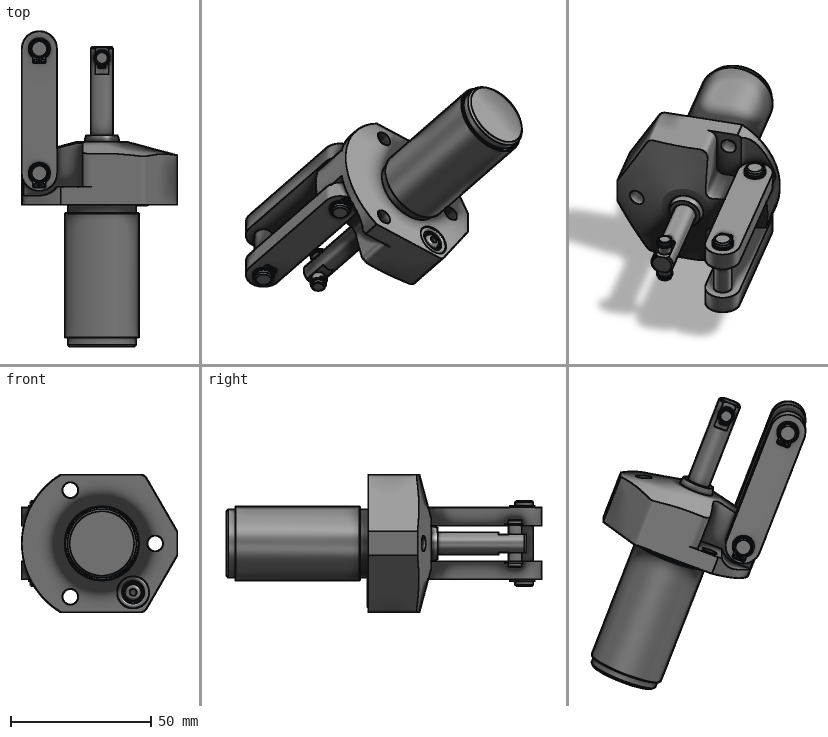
import cadquery as cq
import math


FLANGE_RADIUS = 28.6
HEIGHT = 49.2
HALF_HEIGHT = HEIGHT / 2
NOSE_X = 26.9
NOSE_HALF_HEIGHT = 4.3
NOSE_ANGLE = 60.0
CORNER_RADIUS = 2.8

HEAD_TOP = 22.4
CROWN_RADIUS = 9.2
CROWN_ANGLE = 15.0
FLANGE_THICKNESS = 6.4
SHOULDER_X = -6.9
BLEND_RADIUS = 3.2

MOUNT_HOLE_DIAMETER = 5.5
MOUNT_HOLES = [(-11.3, 19.0), (-11.3, -19.0), (19.0, 0.0)]

NECK_RADIUS = 12.3
NECK_LENGTH = 3.3
BARREL_RADIUS = 13.3
BARREL_END = 47.6
BARREL_CHAMFER = 0.3
TAIL_END = 50.7
TAIL_CHAMFER = 0.8

COLLAR_BASE_RADIUS = 6.2
COLLAR_TOP_RADIUS = 5.6
COLLAR_HEIGHT = 2.4

PORT_X = 11.2
PORT_Z = -17.5
PORT_RADIUS = 5.7
PORT_DEPTH = 0.6
SEAL_MID_RADIUS = 4.8
SEAL_RADIUS = 0.85
PORT_GROOVE_RADIUS = 3.4
PORT_GROOVE_DEPTH = 1.5
NIPPLE_RADIUS = 2.9
NIPPLE_RISE = 0.1
NIPPLE_ROUND = 1.4
NIPPLE_BORE_RADIUS = 1.2

ROD_RADIUS = 4.1
ROD_END = 56.4
ROD_CHAMFER = 0.6
ROD_FLAT_START = 46.5
ROD_FLAT_HALF_THICKNESS = 3.3
ROD_PIN_RADIUS = 2.4
ROD_PIN_Y = 52.4
ROD_PIN_HALF_LENGTH = 8.5
ROD_PIN_CHAMFER = 0.3
ROD_CLIP_Z = 6.4
ROD_CLIP_THICKNESS = 0.6
ROD_CLIP_RADIUS = 2.8
ROD_CLIP_LUG_HALF_WIDTH = 1.5
ROD_CLIP_LUG_REACH = 3.6
ROD_CLIP_HOLE_RADIUS = 0.28

LINK_HALF_WIDTH = 6.3
LINK_X = LINK_HALF_WIDTH - FLANGE_RADIUS
LINK_PIVOT_Y = 11.3
LINK_PITCH = 44.4
LINK_INNER_Z = 6.3
LINK_THICKNESS = 6.5
LINK_OUTER_Z = LINK_INNER_Z + LINK_THICKNESS
LINK_PIN_RADIUS = 3.3
LINK_PIN_HALF_LENGTH = 15.2
LINK_PIN_CHAMFER = 0.6
LINK_CLIP_THICKNESS = 0.7
LINK_CLIP_RADIUS = 3.8
LINK_CLIP_LUG_HALF_WIDTH = 2.4
LINK_CLIP_LUG_REACH = 5.2
LINK_CLIP_HOLE_RADIUS = 0.6
POCKET_RADIUS = 8.0

CLIP_GAP = 0.3
MARGIN = 5.6


def y_cylinder(radius, start, length):
    """Cylinder on the Y axis from Y = start to Y = start + length."""
    return cq.Workplane("XZ", origin=(0, start, 0)).circle(radius).extrude(-length)


def turned(profile):
    """Revolve a closed profile, given as (radius, Y) points, around the Y axis."""
    return cq.Workplane("XY").polyline(profile).close().revolve(360, (0, 0), (0, 1))


def z_pin(x, y, radius, half_length, chamfer):
    """Pin along Z, centred on Z = 0, with chamfered ends."""
    pin = cq.Workplane("XY", origin=(x, y, -half_length)).circle(radius).extrude(2 * half_length)
    return pin.faces("|Z").chamfer(chamfer)


def retaining_clip(pin_radius, clip_radius, thickness, lug_half_width, lug_reach, hole_radius):
    """Open ring around a pin with two pierced lugs on its -Y side, lying on Z = 0."""
    lug_depth = lug_reach - pin_radius
    lug_mid_y = -(lug_reach + pin_radius) / 2
    hole_x = (lug_half_width + CLIP_GAP / 2) / 2
    plate = cq.Workplane("XY")
    lugs = (
        plate.center(0, -lug_reach / 2).rect(2 * lug_half_width, lug_reach).extrude(thickness)
        .edges("|Z and <Y").chamfer(lug_depth / 4)
    )
    gap = plate.center(0, -lug_reach / 2).rect(CLIP_GAP, lug_reach).extrude(thickness)
    holes = (
        plate.pushPoints([(-hole_x, lug_mid_y), (hole_x, lug_mid_y)])
        .circle(hole_radius).extrude(thickness)
    )
    ring = plate.circle(clip_radius).extrude(thickness)
    bore = plate.circle(pin_radius).extrude(thickness)
    return ring.union(lugs).cut(gap).cut(holes).cut(bore)


def with_clips(body, clip, x, y, z):
    """Add one clip above Z = z and its mirror image below Z = -z."""
    upper = clip.translate((x, y, z))
    return body.union(upper).union(upper.mirror("XY"))



def flange_block():
    """Flange outline extruded to the full head height."""
    arc_end_x = -math.sqrt(FLANGE_RADIUS**2 - HALF_HEIGHT**2)
    corner_x = NOSE_X - (HALF_HEIGHT - NOSE_HALF_HEIGHT) / math.tan(math.radians(NOSE_ANGLE))
    block = (
        cq.Workplane("XZ")
        .moveTo(arc_end_x, -HALF_HEIGHT)
        .threePointArc((-FLANGE_RADIUS, 0), (arc_end_x, HALF_HEIGHT))
        .lineTo(corner_x, HALF_HEIGHT)
        .lineTo(NOSE_X, NOSE_HALF_HEIGHT)
        .lineTo(NOSE_X, -NOSE_HALF_HEIGHT)
        .lineTo(corner_x, -HALF_HEIGHT)
        .close()
        .extrude(-HEAD_TOP)
    )
    for corner_z in (HALF_HEIGHT, -HALF_HEIGHT):
        corner = cq.selectors.NearestToPointSelector((corner_x, HEAD_TOP / 2, corner_z))
        block = block.edges("|Y").edges(corner).fillet(CORNER_RADIUS)
    return block


def crown_envelope():
    """Solid under the flat crown and the cone that falls away from it."""
    rim_radius = FLANGE_RADIUS + MARGIN
    rim_y = HEAD_TOP - (rim_radius - CROWN_RADIUS) * math.tan(math.radians(CROWN_ANGLE))
    return turned([(0, 0), (rim_radius, 0), (rim_radius, rim_y), (CROWN_RADIUS, HEAD_TOP), (0, HEAD_TOP)])


def side_recess():
    """Space above the flange and beside the lug, with a rounded shoulder, on the +Z side."""
    far_x = -FLANGE_RADIUS - MARGIN
    far_z = HALF_HEIGHT + MARGIN
    bulge = BLEND_RADIUS * math.sqrt(0.5)
    low_z = LINK_INNER_Z + BLEND_RADIUS
    high_z = HALF_HEIGHT - BLEND_RADIUS
    inner_x = SHOULDER_X - BLEND_RADIUS
    outer_x = SHOULDER_X + BLEND_RADIUS
    return (
        cq.Workplane("XZ", origin=(0, FLANGE_THICKNESS, 0))
        .moveTo(far_x, LINK_INNER_Z)
        .lineTo(inner_x, LINK_INNER_Z)
        .threePointArc((inner_x + bulge, low_z - bulge), (SHOULDER_X, low_z))
        .lineTo(SHOULDER_X, high_z)
        .threePointArc((outer_x - bulge, high_z + bulge), (outer_x, HALF_HEIGHT))
        .lineTo(outer_x, far_z)
        .lineTo(far_x, far_z)
        .close()
        .extrude(-HEAD_TOP)
    )


def link_pocket():
    """Clearance in the flange below the link end, on the +Z side."""
    floor_y = LINK_PIVOT_Y - POCKET_RADIUS
    open_length = FLANGE_RADIUS + MARGIN
    round_part = cq.Workplane("XY").center(LINK_X, LINK_PIVOT_Y).circle(POCKET_RADIUS).extrude(HALF_HEIGHT)
    open_part = (
        cq.Workplane("XY", origin=(LINK_X - open_length, floor_y, 0))
        .box(open_length, POCKET_RADIUS, HALF_HEIGHT, centered=False)
    )
    return round_part.union(open_part).translate((0, 0, LINK_INNER_Z))


def barrel():
    """Neck, barrel and stepped tail behind the flange."""
    return turned([
        (0, 0),
        (NECK_RADIUS, 0),
        (NECK_RADIUS, -NECK_LENGTH + BARREL_CHAMFER),
        (BARREL_RADIUS - BARREL_CHAMFER, -NECK_LENGTH + BARREL_CHAMFER),
        (BARREL_RADIUS, -NECK_LENGTH),
        (BARREL_RADIUS, -BARREL_END + BARREL_CHAMFER),
        (BARREL_RADIUS - BARREL_CHAMFER, -BARREL_END),
        (NECK_RADIUS, -BARREL_END),
        (NECK_RADIUS, -TAIL_END + TAIL_CHAMFER),
        (NECK_RADIUS - TAIL_CHAMFER, -TAIL_END),
        (0, -TAIL_END),
    ])


def collar():
    """Collar where the rod leaves the head, its convex side leaning in from base to top."""
    top_y = HEAD_TOP + COLLAR_HEIGHT
    setback = COLLAR_BASE_RADIUS - COLLAR_TOP_RADIUS
    side_radius = (COLLAR_HEIGHT**2 + setback**2) / (2 * setback)
    return (
        cq.Workplane("XY")
        .moveTo(0, HEAD_TOP)
        .lineTo(COLLAR_BASE_RADIUS, HEAD_TOP)
        .radiusArc((COLLAR_TOP_RADIUS, top_y), -side_radius)
        .lineTo(0, top_y)
        .close()
        .revolve(360, (0, 0), (0, 1))
    )


def add_port(body):
    """Recessed oil port with a seal bead and a rounded, bored nipple."""
    place = (PORT_X, 0, PORT_Z)
    recess = y_cylinder(PORT_RADIUS, 0, PORT_DEPTH)
    groove = y_cylinder(PORT_GROOVE_RADIUS, 0, PORT_GROOVE_DEPTH)
    seal = (
        cq.Workplane("XY").center(SEAL_MID_RADIUS, PORT_DEPTH).circle(SEAL_RADIUS)
        .revolve(360, (-SEAL_MID_RADIUS, 0), (-SEAL_MID_RADIUS, 1))
    )
    nipple_height = NIPPLE_RISE + PORT_GROOVE_DEPTH
    nipple = (
        y_cylinder(NIPPLE_RADIUS, -NIPPLE_RISE, nipple_height)
        .faces("<Y").edges().fillet(NIPPLE_ROUND)
        .cut(y_cylinder(NIPPLE_BORE_RADIUS, -NIPPLE_RISE, nipple_height))
    )
    body = body.cut(recess.union(groove).translate(place))
    return body.union(seal.translate(place)).union(nipple.translate(place))


def make_housing():
    body = flange_block().intersect(crown_envelope())
    for cutter in (side_recess(), link_pocket()):
        body = body.cut(cutter).cut(cutter.mirror("XY"))
    body = body.union(barrel()).union(collar())
    mount_holes = (
        cq.Workplane("XZ").pushPoints(MOUNT_HOLES).circle(MOUNT_HOLE_DIAMETER / 2).extrude(-HEAD_TOP)
    )
    pivot_hole = (
        cq.Workplane("XY", origin=(LINK_X, LINK_PIVOT_Y, -LINK_INNER_Z))
        .circle(LINK_PIN_RADIUS).extrude(2 * LINK_INNER_Z)
    )
    rod_bore = y_cylinder(ROD_RADIUS, 0, HEAD_TOP + COLLAR_HEIGHT)
    body = body.cut(mount_holes).cut(pivot_hole).cut(rod_bore)
    return add_port(body)



def make_piston_rod():
    """Rod with two end flats and a cross pin held by a clip on each side."""
    rod = y_cylinder(ROD_RADIUS, 0, ROD_END).faces(">Y").edges().chamfer(ROD_CHAMFER)
    flat_length = ROD_END - ROD_FLAT_START
    for side in (1, -1):
        cut_z = side * (ROD_FLAT_HALF_THICKNESS + ROD_RADIUS / 2)
        flat_cut = (
            cq.Workplane("XY", origin=(0, ROD_FLAT_START + flat_length / 2, cut_z))
            .box(2 * ROD_RADIUS, flat_length, ROD_RADIUS)
        )
        rod = rod.cut(flat_cut)
    rod = rod.union(z_pin(0, ROD_PIN_Y, ROD_PIN_RADIUS, ROD_PIN_HALF_LENGTH, ROD_PIN_CHAMFER))
    clip = retaining_clip(
        ROD_PIN_RADIUS, ROD_CLIP_RADIUS, ROD_CLIP_THICKNESS,
        ROD_CLIP_LUG_HALF_WIDTH, ROD_CLIP_LUG_REACH, ROD_CLIP_HOLE_RADIUS,
    )
    return with_clips(rod, clip, 0, ROD_PIN_Y, ROD_CLIP_Z)



def link_bar():
    """Bar with round ends, on the +Z side of the lug."""
    return (
        cq.Workplane("XY", origin=(LINK_X, LINK_PIVOT_Y + LINK_PITCH / 2, LINK_INNER_Z))
        .slot2D(LINK_PITCH + 2 * LINK_HALF_WIDTH, 2 * LINK_HALF_WIDTH, 90)
        .extrude(LINK_THICKNESS)
    )


def make_link():
    """Two bars joined by two pins, each pin held by a clip at both ends."""
    bar = link_bar()
    link = bar.union(bar.mirror("XY"))
    clip = retaining_clip(
        LINK_PIN_RADIUS, LINK_CLIP_RADIUS, LINK_CLIP_THICKNESS,
        LINK_CLIP_LUG_HALF_WIDTH, LINK_CLIP_LUG_REACH, LINK_CLIP_HOLE_RADIUS,
    )
    for pin_y in (LINK_PIVOT_Y, LINK_PIVOT_Y + LINK_PITCH):
        link = link.union(z_pin(LINK_X, pin_y, LINK_PIN_RADIUS, LINK_PIN_HALF_LENGTH, LINK_PIN_CHAMFER))
        link = with_clips(link, clip, LINK_X, pin_y, LINK_OUTER_Z)
    return link


housing = make_housing()
piston_rod = make_piston_rod()
link = make_link()

result = cq.Compound.makeCompound([
    housing.solids().val(),
    piston_rod.solids().val(),
    link.solids().val(),
])